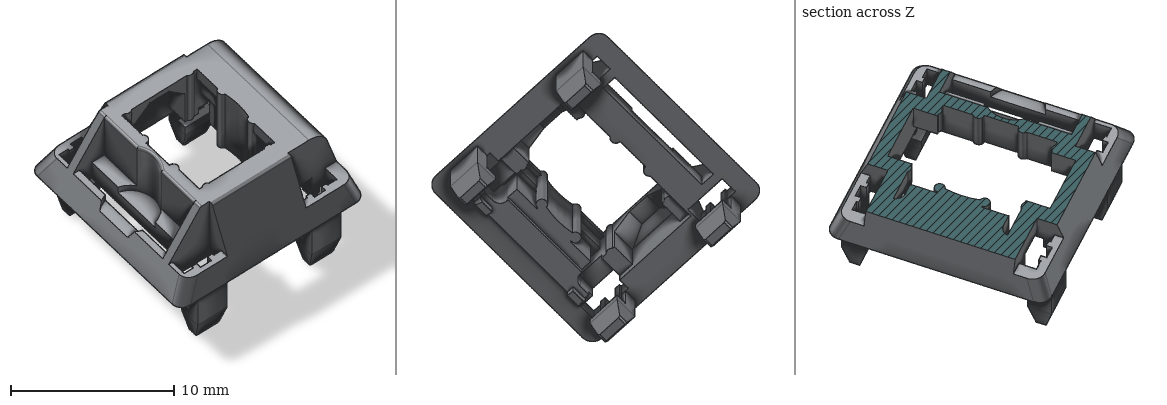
import cadquery as cq
import math

base_half = 7.35
top_z = 5.1
flange_z = 1.5
leg_tip_z = -4.6
through = 20.0

side_top = 5.23
rear_top = 5.86
front_top = 3.79
side_rounding = 0.2
rear_rounding = 1.5
front_rounding = 0.2
corner_rounding = 0.9

corner_x = 4.96
corner_y = 3.1
slot_x = 6.12
slot_y = 6.01

recess_half = 4.37
recess_wall_y = -3.86
recess_lip = 0.18
slit_back_y = -4.84
slit_front_y = -5.83
scoop_radius = 1.88
scoop_y = -5.33
scoop_z = 1.0

window_half = 3.78
window_front = -2.94
window_rear = 2.98
window_draft = 0.06
roof_underside = 4.3
cavity_rear = 3.23
bulge_apex = 3.17
front_relief_half = 1.18
front_relief_y = -3.17
post_x = 1.49
post_y = 3.14
post_radius = 0.35
rib_x = 4.01
rib_y = 2.45

side_pocket_x = 5.38
side_pocket_y = 2.03
side_pocket_z = 4.65
side_shoulder_y = 0.75
side_shoulder_z = 3.45
side_lean_x = 4.9
side_lean_z = 3.5
rear_pocket_z = 2.77
corner_pocket_z = 1.3
under_pocket_z = 0.8

skirt_z = -0.5
skirt_half = 4.62
skirt_rear = 5.84
skirt_front = 5.0
block_half = 3.27
block_front = 3.55
block_skirt_front = 4.3
block_fillet = 0.63
tab_outer = 4.69
tab_inner = 3.59
tab_z = -1.28
tab_depth = 0.5
tab_chamfer_x = 0.22
tab_chamfer_z = 0.48

leg_outer = 6.98
leg_inner = 6.14
leg_y = 4.49
leg_width = 2.3
pad_x = 5.97
pad_width = 1.62
groove_x = 6.36
groove_width = 0.86
hook_x = 5.39
hook_z = -2.2
taper_z = -2.91
tip_length = 0.58
tip_width = 1.82
tip_chamfer = 0.12


def box(x0, x1, y0, y1, z0, z1):
    """Box between two opposite corners."""
    return cq.Workplane("XY").box(x1 - x0, y1 - y0, z1 - z0, centered=False).translate((x0, y0, z0))


def cylinder(x, y, radius, z0, z1):
    return cq.Workplane("XY", origin=(x, y, z0)).circle(radius).extrude(z1 - z0)


def both_sides(shape):
    """The shape together with its mirror image across X = 0."""
    return shape.union(shape.mirror("YZ"))


def four_corners(shape):
    """Copies of a +X, +Y shape in all four corners."""
    pair = both_sides(shape)
    return pair.union(pair.mirror("XZ"))


def prism():
    """Four-sided frustum, once with sharp edges and once with its roof edges rounded."""
    across_x = (
        cq.Workplane("XZ")
        .polyline([(-base_half, 0), (base_half, 0), (side_top, top_z), (-side_top, top_z)])
        .close()
        .extrude(through, both=True)
    )
    across_y = (
        cq.Workplane("YZ")
        .polyline([(-base_half, 0), (base_half, 0), (rear_top, top_z), (-front_top, top_z)])
        .close()
        .extrude(through, both=True)
    )
    rounded_x = across_x.edges("|Y and >Z").fillet(side_rounding)
    rounded_y = across_y.edges("|X").edges(">Z").edges(">Y").fillet(rear_rounding)
    rounded_y = rounded_y.edges("|X").edges(">Z").edges("<Y").fillet(front_rounding)
    return across_x.intersect(across_y), rounded_x.intersect(rounded_y)


def outer_body():
    """Flange with rounded corners below, cross-shaped housing above."""
    sharp, rounded = prism()
    flange = sharp.intersect(box(-through, through, -through, through, 0, flange_z))
    flange = flange.edges("not(#Z or |X or |Y)").fillet(corner_rounding)
    cross = box(-corner_x, corner_x, -through, through, flange_z, top_z)
    cross = cross.union(box(-through, through, -corner_y, corner_y, flange_z, top_z))
    return flange.union(rounded.intersect(cross)).clean()


def corner_slots():
    """Openings between the flange and the housing at the four corners."""
    slot = box(corner_x, slot_x, corner_y, slot_y, -through, through)
    return four_corners(slot)


def front_recess():
    """Recess with a rounded upper edge, a slit through the floor and a round scoop."""
    arc = recess_lip * (1 - math.sqrt(0.5))
    wall_top = top_z - recess_lip
    recess = (
        cq.Workplane("YZ", origin=(-recess_half, 0, 0))
        .moveTo(recess_wall_y, flange_z)
        .lineTo(recess_wall_y, wall_top)
        .threePointArc((recess_wall_y + arc, top_z - arc), (recess_wall_y + recess_lip, top_z))
        .lineTo(-base_half, top_z)
        .lineTo(-base_half, flange_z)
        .close()
        .extrude(2 * recess_half)
    )
    slit = box(-recess_half, recess_half, slit_front_y, slit_back_y, -through, flange_z)
    scoop = cylinder(0, scoop_y, scoop_radius, scoop_z, top_z)
    flare = (
        cq.Workplane("XZ", origin=(0, scoop_y, 0))
        .moveTo(0, wall_top)
        .lineTo(scoop_radius, wall_top)
        .threePointArc((scoop_radius + arc, top_z - arc), (scoop_radius + recess_lip, top_z))
        .lineTo(0, top_z)
        .close()
        .revolve(360, (0, 0, 0), (0, 1, 0))
    )
    return recess.union(slit).union(scoop).union(flare)


def side_pocket_pair():
    """Arched pockets in both side walls; their outer walls lean in with the housing."""
    arch = (
        cq.Workplane("YZ")
        .polyline(
            [
                (-side_pocket_y, 0),
                (side_pocket_y, 0),
                (side_pocket_y, side_shoulder_z),
                (side_shoulder_y, side_pocket_z),
                (-side_shoulder_y, side_pocket_z),
                (-side_pocket_y, side_shoulder_z),
            ]
        )
        .close()
        .extrude(through)
    )
    reach = (
        cq.Workplane("XZ")
        .polyline(
            [
                (0, 0),
                (side_pocket_x, 0),
                (side_pocket_x, side_lean_z),
                (side_lean_x, side_pocket_z),
                (window_half, side_pocket_z),
                (window_half, roof_underside),
                (0, roof_underside),
            ]
        )
        .close()
        .extrude(through, both=True)
    )
    return both_sides(arch.intersect(reach))


def cavity():
    """Roof window, the room below it and the pockets that open from the room."""
    window = (
        cq.Workplane("YZ", origin=(-window_half, 0, 0))
        .polyline(
            [
                (window_front, roof_underside),
                (window_front, top_z),
                (window_rear, top_z),
                (window_rear - window_draft, roof_underside),
            ]
        )
        .close()
        .extrude(2 * window_half)
    )
    room = box(-window_half, window_half, window_front, cavity_rear, -through, roof_underside)
    rear_pocket = box(-window_half, window_half, 0, block_front, -through, rear_pocket_z)
    under_pocket = box(-side_pocket_x, side_pocket_x, window_front, corner_y, -through, under_pocket_z)
    corner_pocket = box(block_half, slot_x, corner_y, skirt_front, -through, corner_pocket_z)
    hollow = window.union(room).union(rear_pocket).union(side_pocket_pair())
    flank = box(block_half, window_half, block_front, skirt_front, -through, rear_pocket_z)
    return hollow.union(under_pocket).union(both_sides(corner_pocket)).union(both_sides(flank))


def rear_skirt():
    """Skirt below the rear wall: a deeper middle with rounded roots and two tabs at the ends."""
    arc_x = block_half + block_fillet * (1 - math.sqrt(0.5))
    arc_y = skirt_front - block_fillet * (1 - math.sqrt(0.5))
    skirt = (
        cq.Workplane("XY", origin=(0, 0, skirt_z))
        .moveTo(-skirt_half, skirt_rear)
        .lineTo(-skirt_half, skirt_front)
        .lineTo(-block_half - block_fillet, skirt_front)
        .threePointArc((-arc_x, arc_y), (-block_half, skirt_front - block_fillet))
        .lineTo(-block_half, block_skirt_front)
        .lineTo(block_half, block_skirt_front)
        .lineTo(block_half, skirt_front - block_fillet)
        .threePointArc((arc_x, arc_y), (block_half + block_fillet, skirt_front))
        .lineTo(skirt_half, skirt_front)
        .lineTo(skirt_half, skirt_rear)
        .close()
        .extrude(rear_pocket_z - skirt_z)
    )
    tab = (
        cq.Workplane("XZ", origin=(0, skirt_rear, 0))
        .polyline(
            [
                (tab_inner, 0),
                (tab_inner, tab_z),
                (tab_outer - tab_chamfer_x, tab_z),
                (tab_outer, tab_z + tab_chamfer_z),
                (tab_outer, 0),
            ]
        )
        .close()
        .extrude(tab_depth)
    )
    tab = tab.faces("<Z").edges(">Y").chamfer(tab_chamfer_z, tab_chamfer_x)
    return skirt.union(both_sides(tab))


def line_window(body):
    """Add the rear bulge, the front relief, the round posts and the side ribs of the window."""
    bank = box(-post_x, post_x, window_rear, block_front, 0, roof_underside)
    bulge = (
        cq.Workplane("XY", origin=(0, 0, 0))
        .moveTo(-post_x, window_rear)
        .threePointArc((0, bulge_apex), (post_x, window_rear))
        .lineTo(post_x, 0)
        .lineTo(-post_x, 0)
        .close()
        .extrude(top_z)
    )
    relief = box(-front_relief_half, front_relief_half, front_relief_y, 0, 0, top_z)
    body = body.union(bank).cut(bulge).cut(relief)
    rear_post = cylinder(post_x, post_y, post_radius, 0, top_z)
    front_post = cylinder(post_x, -post_y, post_radius, 0, top_z)
    front_post = front_post.intersect(box(0, through, recess_wall_y + recess_lip, 0, 0, top_z))
    rib = cylinder(rib_x, rib_y, post_radius, under_pocket_z, top_z)
    rib = rib.intersect(box(0, rib_x, 0, through, 0, top_z))
    for guide in (rear_post, front_post, rib, rib.mirror("XZ")):
        body = body.union(both_sides(guide))
    return body


def leg():
    """Clip leg at +X, +Y with a hook at its foot and a tapered tip."""
    y0 = leg_y - leg_width / 2
    y1 = leg_y + leg_width / 2
    shank = box(leg_inner, leg_outer, y0, y1, hook_z, 0)
    pad = box(pad_x, leg_inner, leg_y - pad_width / 2, leg_y + pad_width / 2, hook_z, flange_z)
    foot = box(hook_x, leg_outer, y0, y1, taper_z, hook_z)
    foot_center_x = (hook_x + leg_outer) / 2
    tip = (
        cq.Workplane("XY", origin=(foot_center_x, leg_y, taper_z))
        .rect(leg_outer - hook_x, leg_width)
        .workplane(offset=leg_tip_z - taper_z)
        .rect(tip_length, tip_width)
        .loft(ruled=True)
        .faces("<Z")
        .edges("|X")
        .chamfer(tip_chamfer)
    )
    return shank.union(pad).union(foot).union(tip)


def leg_groove():
    """Vertical groove down the inner face of a leg, from the ledge to the hook."""
    return box(
        hook_x, groove_x, leg_y - groove_width / 2, leg_y + groove_width / 2, hook_z, flange_z
    )


body = outer_body().cut(front_recess()).cut(cavity())
body = body.union(rear_skirt().cut(corner_slots()))
body = line_window(body).cut(corner_slots())
result = body.union(four_corners(leg())).cut(four_corners(leg_groove())).clean()